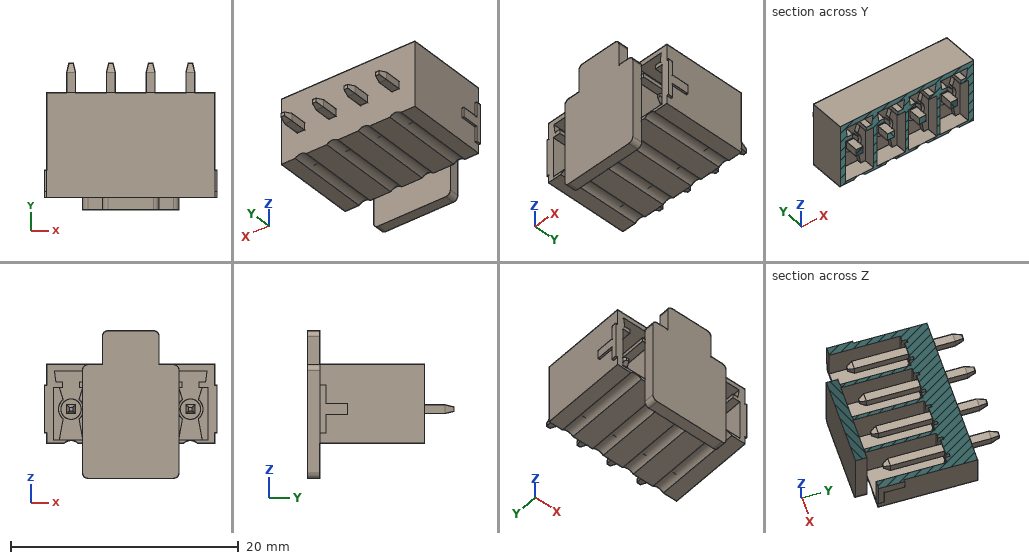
import cadquery as cq
import math


pin_count = 4
pin_pitch = 3.5
pin_size = 0.79
pin_inset = 1.15
front_tip_size = 0.3
rear_tip_size = 0.4
front_tip_length = 0.55
rear_tip_length = 0.8

overall_width = 15.2
rail_height = 0.2
housing_width = overall_width - 2 * rail_height
housing_depth = 9.21
housing_height = 6.96
housing_top = 3.95
housing_bottom = housing_top - housing_height

pocket_depth = 6.99
pocket_top = housing_top - 0.58
pocket_bottom = housing_bottom + 0.32
pocket_width = 3.1
tab_top = housing_top - 1.58
tab_bottom = housing_top - 2.04
tab_gap = 1.47
upper_width_at_roof = 2.93
upper_width_at_tab = 2.66

pad_height = 0.45
pad_bore_diameter = 2.2
pad_gap_at_waist = 1.4
pad_gap_at_ends = 2.07
collar_diameter = 1.8
collar_height = 0.3

groove_diameter = 1.8
groove_depth = 0.25

rail_center_z = 0.02
rail_flange_height = 4.2
rail_flange_depth = 0.53
rail_stem_height = 1.0
rail_length = 2.42

overall_depth = 12.9
plate_thickness = 1.1
plate_width = 8.5
plate_height = 10.0
plate_top = housing_top - 0.05
tongue_width = 5.0
tongue_height = 3.0
plate_corner_radius = 0.5

pin_rear_end = overall_depth - plate_thickness
pin_positions = [(i - (pin_count - 1) / 2) * pin_pitch for i in range(pin_count)]


def y_plane(y):
    """Sketch plane at depth y with +X right, +Z up and the normal toward -Y."""
    return cq.Workplane("XZ", origin=(0, y, 0))


def block(width, y_front, y_rear, z_low, z_high):
    """Box centred on X = 0."""
    depth = y_rear - y_front
    height = z_high - z_low
    solid = cq.Workplane("XY").box(width, depth, height, centered=(True, False, False))
    return solid.translate((0, y_front, z_low))


def make_pin():
    """Square pin on X = 0, tapered at both ends."""
    shank_front = pin_inset + front_tip_length
    shank_rear = pin_rear_end - rear_tip_length
    half = pin_size / 2
    shank = block(pin_size, shank_front, shank_rear, -half, half)

    def tip(y_base, y_end, end_size):
        return (
            y_plane(y_base)
            .rect(pin_size, pin_size)
            .workplane(offset=y_base - y_end)
            .rect(end_size, end_size)
            .loft(ruled=True)
        )

    front_tip = tip(shank_front, pin_inset, front_tip_size)
    rear_tip = tip(shank_rear, pin_rear_end, rear_tip_size)
    return shank.union(front_tip).union(rear_tip)


def make_floor_pads():
    """Pair of pads below the tabs, hollowed by an hourglass gap and a round bore."""
    y_top = pocket_depth - pad_height
    waist_half = pad_gap_at_waist / 2
    end_half = pad_gap_at_ends / 2
    bore_radius = pad_bore_diameter / 2
    waist_z = math.sqrt(bore_radius**2 - waist_half**2)
    pads = block(pocket_width, y_top, pocket_depth, pocket_bottom, tab_bottom)
    hourglass = (
        y_plane(pocket_depth)
        .polyline([
            (-end_half, tab_bottom),
            (-waist_half, waist_z),
            (-waist_half, -waist_z),
            (-end_half, pocket_bottom),
            (end_half, pocket_bottom),
            (waist_half, -waist_z),
            (waist_half, waist_z),
            (end_half, tab_bottom),
        ])
        .close()
        .extrude(pad_height)
    )
    bore = y_plane(pocket_depth).circle(bore_radius).extrude(pad_height)
    return pads.cut(hourglass).cut(bore)


def make_pocket():
    """Space to remove around one pin: a keyed socket with its floor details left standing."""
    lower = block(pocket_width, 0, pocket_depth, pocket_bottom, tab_bottom)
    gap = block(tab_gap, 0, pocket_depth, tab_bottom, tab_top)
    upper = (
        y_plane(pocket_depth)
        .polyline([
            (-upper_width_at_roof / 2, pocket_top),
            (upper_width_at_roof / 2, pocket_top),
            (upper_width_at_tab / 2, tab_top),
            (-upper_width_at_tab / 2, tab_top),
        ])
        .close()
        .extrude(pocket_depth)
    )
    collar = y_plane(pocket_depth).circle(collar_diameter / 2).extrude(collar_height)
    return lower.union(gap).union(upper).cut(make_floor_pads()).cut(collar)


def make_groove():
    """Round-topped groove along the whole underside, below one pin."""
    radius = groove_diameter / 2
    groove_center_z = housing_bottom + groove_depth - radius
    return y_plane(housing_depth).center(0, groove_center_z).circle(radius).extrude(housing_depth)


def make_rails():
    """T-shaped rails on both sides, as one pair of slabs as wide as the whole housing."""

    def rail_block(length, height):
        return block(overall_width, 0, length, rail_center_z - height / 2, rail_center_z + height / 2)

    return rail_block(rail_flange_depth, rail_flange_height).union(rail_block(rail_length, rail_stem_height))


def make_housing():
    """Shell with rails, one pocket, groove and pin hole per pin."""
    housing = block(housing_width, 0, housing_depth, housing_bottom, housing_top).union(make_rails())
    pocket = make_pocket()
    groove = make_groove()
    half = pin_size / 2
    pin_hole = block(pin_size, 0, housing_depth, -half, half)
    for x in pin_positions:
        for cutter in (pocket, groove, pin_hole):
            housing = housing.cut(cutter.translate((x, 0, 0)))
    return housing


def make_plate():
    """Flat cover plate on the mating face, with a narrower tongue on top."""
    main_panel = block(plate_width, -plate_thickness, 0, plate_top - plate_height, plate_top)
    main_panel = main_panel.edges("|Y").fillet(plate_corner_radius)
    tongue = block(tongue_width, -plate_thickness, 0, plate_top, plate_top + tongue_height)
    tongue = tongue.edges("|Y and >Z").fillet(plate_corner_radius)
    return main_panel.union(tongue)


pin = make_pin()
pins = [pin.translate((x, 0, 0)) for x in pin_positions]
housing = make_housing()
plate = make_plate()

result = cq.Compound.makeCompound([housing.val(), plate.val(), *[p.val() for p in pins]])